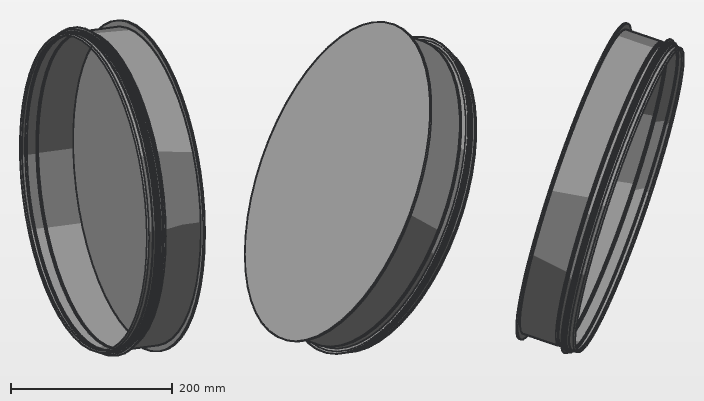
import cadquery as cq

OUTER_DIAMETER = 413.8
DEPTH = 75.0

SHEET = 0.6
TUBE_RADIUS = 399.0 / 2
GROOVE_RADIUS = 395.0 / 2
CURL_INNER_RADIUS = 393.0 / 2
CURL_RADIUS = (TUBE_RADIUS - CURL_INNER_RADIUS) / 2
GROOVE_FRONT = 7.5
GROOVE_BACK = 25.2
STEP_LENGTH = 1.5

PLATE = 2.5
COVER_FRONT = DEPTH - PLATE

SEAL_BACK = 22.0
SEAL_BACK_RADIUS = 396.0 / 2
SEAL_LIP_RADIUS = 397.5 / 2
LARGE_LIP_BACK = 16.0
LARGE_LIP_RADIUS = 411.0 / 2
LARGE_ROOT_RADIUS = 404.3 / 2
SMALL_LIP_BACK = 11.5
SMALL_LIP_RADIUS = 406.8 / 2
SMALL_ROOT_RADIUS = 401.8 / 2
LIP = 1.2
ROOT = 1.2


def revolve_about_y(profile):
    """Turn a closed (radius, y) profile all the way around the Y axis."""
    return profile.close().revolve(360, (0, 0, 0), (0, 1, 0))


def make_spigot():
    """Thin tube with a rolled seal groove and a curled front rim."""
    tube_inner = TUBE_RADIUS - SHEET
    groove_inner = GROOVE_RADIUS - SHEET
    tube = revolve_about_y(
        cq.Workplane("XY")
        .moveTo(TUBE_RADIUS, CURL_RADIUS)
        .lineTo(TUBE_RADIUS, GROOVE_FRONT)
        .lineTo(GROOVE_RADIUS, GROOVE_FRONT + STEP_LENGTH)
        .lineTo(GROOVE_RADIUS, GROOVE_BACK - STEP_LENGTH)
        .lineTo(TUBE_RADIUS, GROOVE_BACK)
        .lineTo(TUBE_RADIUS, COVER_FRONT)
        .lineTo(tube_inner, COVER_FRONT)
        .lineTo(tube_inner, GROOVE_BACK)
        .lineTo(groove_inner, GROOVE_BACK - STEP_LENGTH)
        .lineTo(groove_inner, GROOVE_FRONT + STEP_LENGTH)
        .lineTo(tube_inner, GROOVE_FRONT)
        .lineTo(tube_inner, CURL_RADIUS)
    )
    curl = (
        cq.Workplane("XY")
        .center(TUBE_RADIUS - CURL_RADIUS, CURL_RADIUS)
        .circle(CURL_RADIUS)
        .revolve(360, (CURL_RADIUS - TUBE_RADIUS, 0, 0), (CURL_RADIUS - TUBE_RADIUS, 1, 0))
    )
    return tube.union(curl)


def make_cover():
    """Flat disc closing the back end of the tube."""
    profile = (
        cq.Workplane("XY")
        .moveTo(0, COVER_FRONT)
        .lineTo(OUTER_DIAMETER / 2, COVER_FRONT)
        .lineTo(OUTER_DIAMETER / 2, DEPTH)
        .lineTo(0, DEPTH)
    )
    return revolve_about_y(profile)


def make_seal():
    """Double-lipped ring seated in the groove."""
    large_lip_front = LARGE_LIP_BACK - LIP
    small_lip_front = SMALL_LIP_BACK - LIP
    profile = (
        cq.Workplane("XY")
        .moveTo(GROOVE_RADIUS, SEAL_BACK)
        .lineTo(SEAL_BACK_RADIUS, SEAL_BACK)
        .lineTo(SEAL_LIP_RADIUS, LARGE_LIP_BACK)
        .lineTo(LARGE_LIP_RADIUS, LARGE_LIP_BACK)
        .lineTo(LARGE_LIP_RADIUS, large_lip_front)
        .lineTo(LARGE_ROOT_RADIUS, large_lip_front)
        .lineTo(LARGE_ROOT_RADIUS, large_lip_front - ROOT)
        .lineTo(TUBE_RADIUS, large_lip_front - ROOT)
        .lineTo(TUBE_RADIUS, SMALL_LIP_BACK)
        .lineTo(SMALL_LIP_RADIUS, SMALL_LIP_BACK)
        .lineTo(SMALL_LIP_RADIUS, small_lip_front)
        .lineTo(SMALL_ROOT_RADIUS, small_lip_front)
        .lineTo(SMALL_ROOT_RADIUS, GROOVE_FRONT)
        .lineTo(TUBE_RADIUS, GROOVE_FRONT)
        .lineTo(GROOVE_RADIUS, GROOVE_FRONT + STEP_LENGTH)
    )
    return revolve_about_y(profile)


spigot = make_spigot()
cover = make_cover()
seal = make_seal()

result = cq.Compound.makeCompound([spigot.val(), cover.val(), seal.val()])